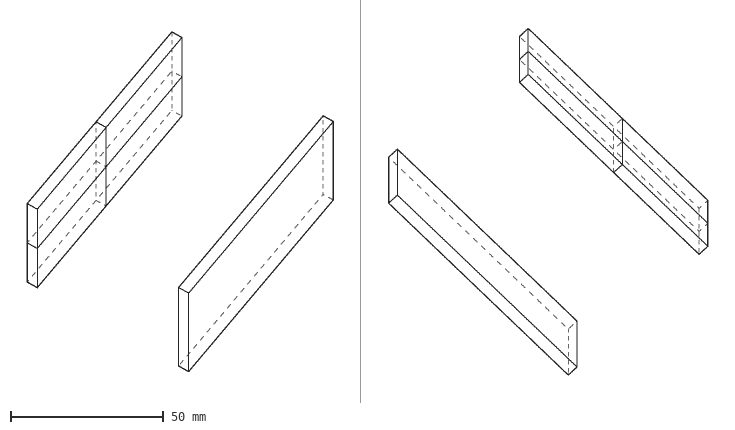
import cadquery as cq

length = 84.0
height = 44.0
width = 64.1
wall = 4.0

rear_length = 44.0
front_length = length - rear_length
tile_height = height / 2


def make_plate(plate_length, plate_height, x_min, y_min, z_min):
    """Upright rectangular plate with its lowest corner at the given point."""
    plate = cq.Workplane("XY").box(wall, plate_length, plate_height, centered=False)
    return plate.translate((x_min, y_min, z_min))


full_plate = make_plate(length, height, width - wall, 0, 0)

tiles = []
for row in range(2):
    z_min = row * tile_height
    for y_min, tile_length in ((0, front_length), (front_length, rear_length)):
        tiles.append(make_plate(tile_length, tile_height, 0, y_min, z_min).val())

result = cq.Compound.makeCompound([full_plate.val(), *tiles])